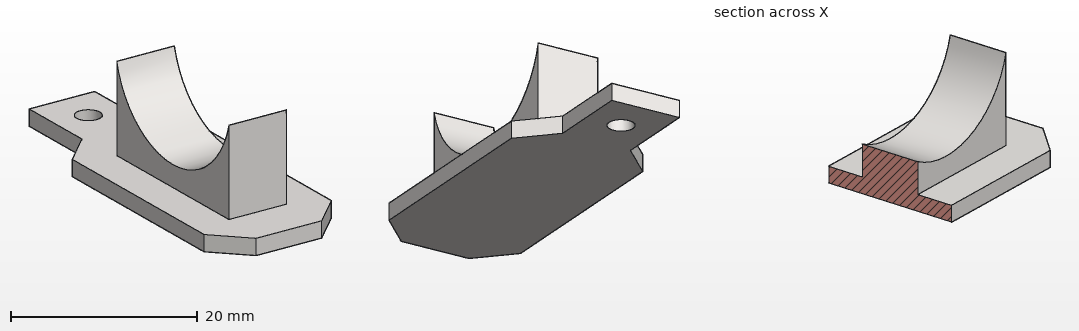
import cadquery as cq

total_length = 43.0
plate_width = 16.5
plate_thickness = 2.0
corner_cut = 4.0
tab_length = 10.0
tab_hole_diameter = 3.0

total_height = 13.0
cradle_start = 15.85
cradle_length = 21.25
cradle_width = 7.5
trough_bottom = 4.7

half_width = plate_width / 2
tab_half_width = half_width - corner_cut
cradle_end = cradle_start + cradle_length
cradle_middle = cradle_start + cradle_length / 2


def make_plate():
    """Plate outline drawn on the +Y side and mirrored about the X axis."""
    return (
        cq.Workplane("XY")
        .moveTo(0, 0)
        .lineTo(0, tab_half_width)
        .lineTo(tab_length, tab_half_width)
        .lineTo(tab_length + corner_cut, half_width)
        .lineTo(total_length - corner_cut, half_width)
        .lineTo(total_length, tab_half_width)
        .lineTo(total_length, 0)
        .mirrorX()
        .extrude(plate_thickness)
    )


def make_cradle():
    """Block whose top is an arc rising to a sharp edge at each end."""
    return (
        cq.Workplane("XZ")
        .moveTo(cradle_start, 0)
        .lineTo(cradle_end, 0)
        .lineTo(cradle_end, total_height)
        .threePointArc((cradle_middle, trough_bottom), (cradle_start, total_height))
        .close()
        .extrude(cradle_width / 2, both=True)
    )


def make_tab_hole():
    """Through hole centred on the tab."""
    return (
        cq.Workplane("XY")
        .center(tab_length / 2, 0)
        .circle(tab_hole_diameter / 2)
        .extrude(plate_thickness)
    )


result = make_plate().union(make_cradle()).cut(make_tab_hole())